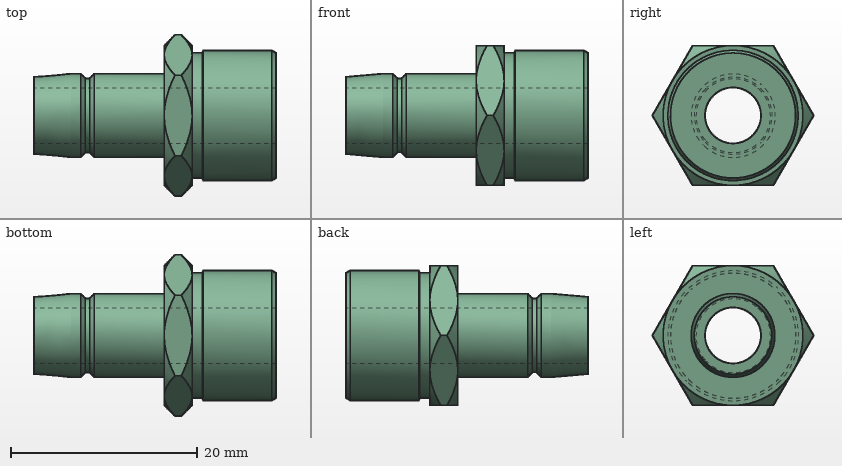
import cadquery as cq
import math

total_length = 26.0
taper_end_x = 4.0
groove_start_x = 5.02
shank_start_x = 6.5
hex_start_x = 14.0
hex_width = 3.0
hex_end_x = hex_start_x + hex_width
barrel_start_x = 18.2
barrel_rear_chamfer_length = 0.15
barrel_end_chamfer_length = 0.5

bore_radius = 3.0
shank_radius = 4.5
groove_radius = 3.98
neck_radius = 6.73
barrel_radius = 7.0
hex_across_flats = 15.0
hex_sides = 6

tip_taper_angle = 5
groove_wall_angle = 45
barrel_chamfer_angle = 30
hex_chamfer_angle = 45


def revolve_about_x(outline):
    """Full turn of an (axial, radial) outline about the X axis."""
    return cq.Workplane("XZ").polyline(outline).close().revolve(360, (0, 0, 0), (1, 0, 0))


def turned_body():
    """Solid of revolution: tapered spigot with groove, shank, neck and barrel."""
    tip_radius = shank_radius - taper_end_x * math.tan(math.radians(tip_taper_angle))
    groove_wall_length = (shank_radius - groove_radius) / math.tan(math.radians(groove_wall_angle))
    barrel_end_drop = barrel_end_chamfer_length * math.tan(math.radians(barrel_chamfer_angle))
    outline = [
        (0, 0),
        (0, tip_radius),
        (taper_end_x, shank_radius),
        (groove_start_x, shank_radius),
        (groove_start_x + groove_wall_length, groove_radius),
        (shank_start_x - groove_wall_length, groove_radius),
        (shank_start_x, shank_radius),
        (hex_start_x, shank_radius),
        (hex_start_x, neck_radius),
        (barrel_start_x - barrel_rear_chamfer_length, neck_radius),
        (barrel_start_x, barrel_radius),
        (total_length - barrel_end_chamfer_length, barrel_radius),
        (total_length, barrel_radius - barrel_end_drop),
        (total_length, 0),
    ]
    return revolve_about_x(outline)


def hex_collar():
    """Hexagon with flats facing +Z and -Z, its corners chamfered on both end faces."""
    across_corners = hex_across_flats / math.cos(math.pi / hex_sides)
    corner_radius = across_corners / 2
    face_radius = hex_across_flats / 2
    chamfer_length = (corner_radius - face_radius) / math.tan(math.radians(hex_chamfer_angle))
    prism = (
        cq.Workplane("YZ")
        .workplane(offset=hex_start_x)
        .polygon(hex_sides, across_corners)
        .extrude(hex_width)
    )
    chamfer_outline = [
        (hex_start_x, 0),
        (hex_start_x, face_radius),
        (hex_start_x + chamfer_length, corner_radius),
        (hex_end_x - chamfer_length, corner_radius),
        (hex_end_x, face_radius),
        (hex_end_x, 0),
    ]
    envelope = revolve_about_x(chamfer_outline)
    return prism.intersect(envelope)


def through_bore():
    """Straight bore along the whole part."""
    return cq.Workplane("YZ").circle(bore_radius).extrude(total_length)


result = turned_body().union(hex_collar()).cut(through_bore())